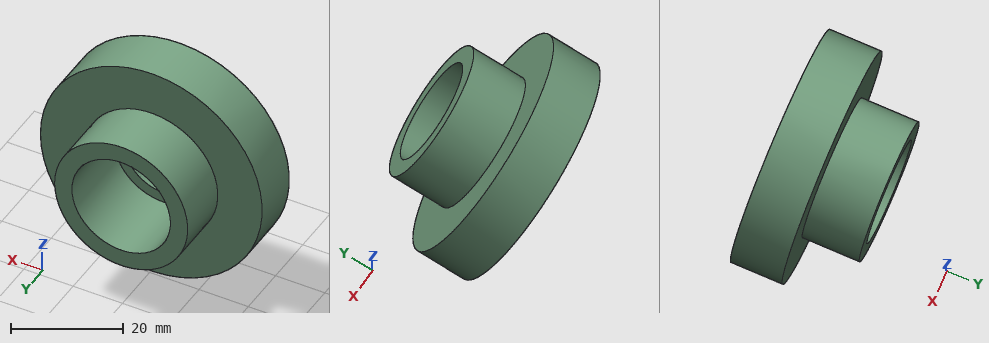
import cadquery as cq

flange_diameter = 45.0
flange_thickness = 10.0
boss_diameter = 27.0
total_length = 21.0
bore_diameter = 15.7
counterbore_diameter = 20.0
bore_length = 5.5


def cylinder(diameter, start, end):
    """Solid cylinder on the Y axis, between two distances from the flange face."""
    base = cq.Workplane("XZ", origin=(0, start, 0))
    return base.circle(diameter / 2).extrude(start - end)


flange = cylinder(flange_diameter, 0, flange_thickness)
boss = cylinder(boss_diameter, flange_thickness, total_length)
bore = cylinder(bore_diameter, 0, total_length)

counterbore = cylinder(counterbore_diameter, bore_length, total_length)

result = flange.union(boss).cut(bore).cut(counterbore)